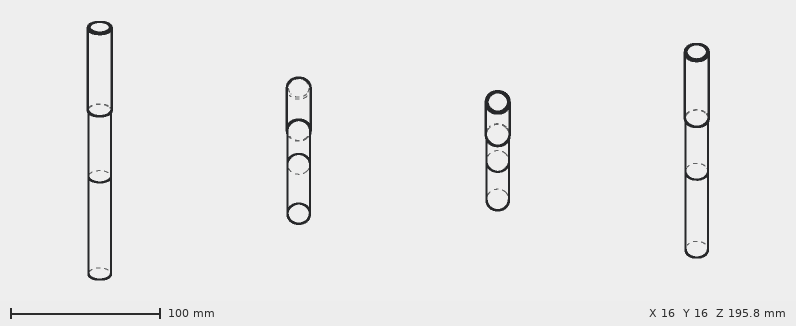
import cadquery as cq
import math

total_length = 195.8
shank_diameter = 16.0
drill_diameter = 15.0

shank_length = 65.0
cutting_length = 78.9

point_angle = 140.0
chamfer_height = 0.69
chamfer_width = 1.2

shank_radius = shank_diameter / 2
drill_radius = drill_diameter / 2
point_height = drill_radius / math.tan(math.radians(point_angle / 2))
tip_z = -total_length / 2
top_z = tip_z + total_length
cutting_top_z = tip_z + cutting_length
shoulder_z = top_z - shank_length


def revolve_profile(points):
    """Turn a closed (radius, z) profile about the Z axis."""
    return cq.Workplane("XZ").polyline(points).close().revolve(360, (0, 0), (0, 1))


def make_cutting_body():
    """Cylindrical cutting section ending in a conical point."""
    return revolve_profile([
        (0, tip_z),
        (drill_radius, tip_z + point_height),
        (drill_radius, cutting_top_z),
        (0, cutting_top_z),
    ])


def make_shank_body():
    """Neck and thicker shank, chamfered at the top end."""
    return revolve_profile([
        (0, cutting_top_z),
        (drill_radius, cutting_top_z),
        (drill_radius, shoulder_z),
        (shank_radius, shoulder_z),
        (shank_radius, top_z - chamfer_height),
        (shank_radius - chamfer_width, top_z),
        (0, top_z),
    ])


cutting_body = make_cutting_body()
shank_body = make_shank_body()

result = cq.Compound.makeCompound([cutting_body.val(), shank_body.val()])